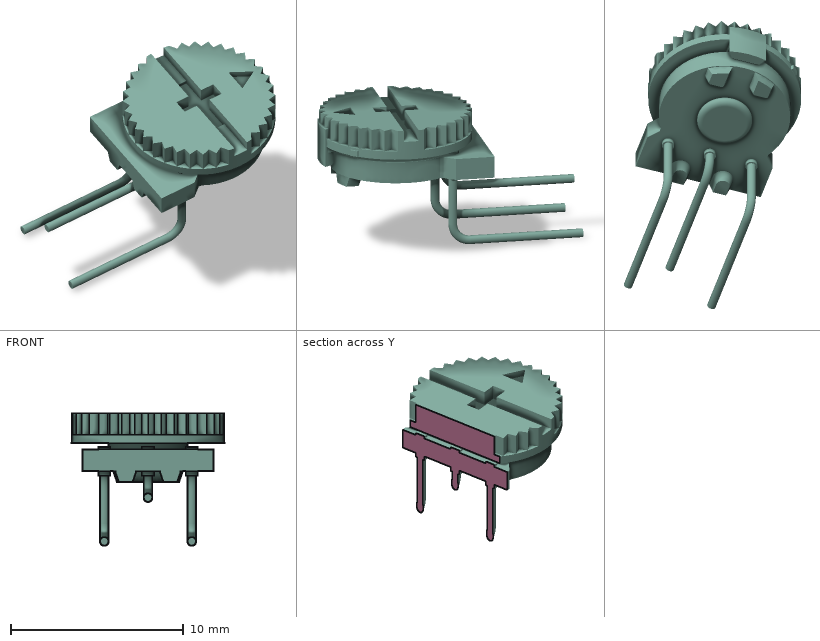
import cadquery as cq
import math


BASE_RADIUS = 3.81
BASE_FRONT_Y = -5.08
BASE_HEIGHT = 1.27
SHOULDER_Y = -2.80
WAIST_Y = -2.155
WAIST_TOP_Y = -1.965

FOOT_HEIGHT = 0.635
FOOT_TAPER = 19.0
FOOT_INNER_X = 0.68
FRONT_FOOT_OUTER_X = 1.91
FRONT_FOOT_ROUND_Y = -4.47
REAR_FOOT_OUTER_X = 2.02
REAR_FOOT_FRONT_Y = 2.32
REAR_FOOT_CORNER = 0.34
REAR_FOOT_RIM_RADIUS = 3.75
RIVET_RADIUS = 1.6

WHEEL_RADIUS = 4.445
WHEEL_BOTTOM = 1.63
WHEEL_TOP = 3.366
TOOTH_BOTTOM = 2.13
TOOTH_ROOT_RADIUS = 4.06
TOOTH_PITCH = 10.0
TEETH_PER_QUARTER = 8
NECK_RADIUS = 2.3
NECK_FLAT_Y = 1.89

SLOT_WIDTH = 0.88
SLOT_DEPTH = 0.66
CROSS_DEPTH = 0.88
CROSS_LENGTH_X = 4.04
CROSS_LENGTH_Y = 2.56
ARROW_BASE_Y = 2.53
ARROW_TIP_Y = 3.79
ARROW_HALF_WIDTH = 0.746
ARROW_DEPTH = 0.41

TAB_RADIUS = 4.54
TAB_INNER_Y = 3.84
TAB_OUTER_HALF_WIDTH = 1.11
TAB_INNER_HALF_WIDTH = 0.74
TAB_BOTTOM = 0.43
TAB_TOP = WHEEL_TOP - SLOT_DEPTH
TAB_CHAMFER = 0.12
WEB_HALF_WIDTH = 1.0
WEB_OUTER_Y = 4.24
WEB_INNER_TOP_Y = 3.40
WEB_INNER_BOTTOM_Y = 3.57
NUB_RADIUS = 4.575
NUB_WIDTH = 0.5
NUB_BOTTOM = 1.66
NUB_TOP = 2.0
NUB_ANGLE = 136.0

PIN_RADIUS = 0.254
PIN_PITCH = 2.54
PIN_Y = -2.86
PIN_END_Y = -10.56
PIN_BEND_RADIUS = 1.016
OUTER_PIN_Z = -4.08
MIDDLE_PIN_Z = OUTER_PIN_Z + PIN_PITCH
COLLAR_RADIUS = 0.35
COLLAR_BOTTOM = -0.27
COLLAR_TOP = 1.41

OVERCUT = 1.0


def polar(radius, degrees):
    angle = math.radians(degrees)
    return radius * math.cos(angle), radius * math.sin(angle)


def make_base():
    waist_x = math.sqrt(BASE_RADIUS**2 - WAIST_TOP_Y**2)
    return (
        cq.Workplane("XY")
        .moveTo(-waist_x, WAIST_TOP_Y)
        .threePointArc((0, BASE_RADIUS), (waist_x, WAIST_TOP_Y))
        .lineTo(waist_x, WAIST_Y)
        .lineTo(BASE_RADIUS, SHOULDER_Y)
        .lineTo(BASE_RADIUS, BASE_FRONT_Y)
        .lineTo(-BASE_RADIUS, BASE_FRONT_Y)
        .lineTo(-BASE_RADIUS, SHOULDER_Y)
        .lineTo(-waist_x, WAIST_Y)
        .close()
        .extrude(BASE_HEIGHT)
    )


def tapered_foot(outline):
    """Foot narrowing downward from the underside of the base."""
    return outline.extrude(FOOT_HEIGHT, taper=FOOT_TAPER).mirror("XY")


def make_front_foot():
    width = FRONT_FOOT_OUTER_X - FOOT_INNER_X
    center_x = (FRONT_FOOT_OUTER_X + FOOT_INNER_X) / 2
    straight = 2 * (FRONT_FOOT_ROUND_Y - BASE_FRONT_Y)
    outline = (
        cq.Workplane("XY")
        .center(center_x, BASE_FRONT_Y)
        .slot2D(straight + width, width, 90)
    )
    behind_front_face = cq.Workplane("XY").box(
        2 * BASE_RADIUS, -BASE_FRONT_Y, 2 * FOOT_HEIGHT
    ).translate((0, BASE_FRONT_Y / 2, 0))
    return tapered_foot(outline).intersect(behind_front_face)


def make_rear_foot():
    width = REAR_FOOT_OUTER_X - FOOT_INNER_X
    length = 2 * (REAR_FOOT_RIM_RADIUS - REAR_FOOT_FRONT_Y)
    outline = cq.Workplane("XY").placeSketch(
        cq.Sketch()
        .rect(width, length)
        .vertices()
        .fillet(REAR_FOOT_CORNER)
        .moved(cq.Location(cq.Vector(FOOT_INNER_X + width / 2, REAR_FOOT_FRONT_Y + length / 2, 0)))
    )
    rim = cq.Workplane("XY").circle(REAR_FOOT_RIM_RADIUS).extrude(-FOOT_HEIGHT)
    return tapered_foot(outline).intersect(rim)


def make_rivet():
    edge_radius = FOOT_HEIGHT / 2
    flat_radius = RIVET_RADIUS - edge_radius
    return (
        cq.Workplane("XZ")
        .lineTo(flat_radius, 0)
        .threePointArc((RIVET_RADIUS, -edge_radius), (flat_radius, -FOOT_HEIGHT))
        .lineTo(0, -FOOT_HEIGHT)
        .close()
        .revolve(360, (0, 0, 0), (0, 1, 0))
    )


def cut_teeth(blank):
    """V notches front and back leave teeth, with smooth rim at the two slot ends."""
    tip_x, tip_y = polar(WHEEL_RADIUS, TOOTH_PITCH / 2)
    mouth_x = WHEEL_RADIUS + OVERCUT
    mouth_y = tip_y * (mouth_x - TOOTH_ROOT_RADIUS) / (tip_x - TOOTH_ROOT_RADIUS)
    notch = (
        cq.Workplane("XY")
        .workplane(offset=TOOTH_BOTTOM)
        .polyline([(TOOTH_ROOT_RADIUS, 0), (mouth_x, mouth_y), (mouth_x, -mouth_y)])
        .close()
        .extrude(WHEEL_TOP - TOOTH_BOTTOM + OVERCUT)
    )
    for middle in (90, 270):
        for i in range(-TEETH_PER_QUARTER, TEETH_PER_QUARTER):
            angle = middle + (i + 0.5) * TOOTH_PITCH
            blank = blank.cut(notch.rotate((0, 0, 0), (0, 0, 1), angle))
    return blank


def make_neck():
    neck = cq.Workplane("XY").workplane(offset=BASE_HEIGHT).circle(NECK_RADIUS)
    neck = neck.extrude(WHEEL_BOTTOM - BASE_HEIGHT)
    flat_cut = (
        cq.Workplane("XY")
        .box(2 * NECK_RADIUS, NECK_RADIUS, WHEEL_TOP, centered=(True, False, False))
        .translate((0, NECK_FLAT_Y, 0))
    )
    return neck.cut(flat_cut)


def top_recess(outline, depth):
    return outline.extrude(depth + OVERCUT).translate((0, 0, WHEEL_TOP - depth))


def make_wheel():
    blank = (
        cq.Workplane("XY")
        .workplane(offset=WHEEL_BOTTOM)
        .circle(WHEEL_RADIUS)
        .extrude(WHEEL_TOP - WHEEL_BOTTOM)
    )
    slot = cq.Workplane("XY").rect(2 * (WHEEL_RADIUS + OVERCUT), SLOT_WIDTH)
    cross_x = cq.Workplane("XY").rect(CROSS_LENGTH_X, SLOT_WIDTH)
    cross_y = cq.Workplane("XY").rect(SLOT_WIDTH, CROSS_LENGTH_Y)
    arrow = cq.Workplane("XY").polyline(
        [
            (0, ARROW_TIP_Y),
            (-ARROW_HALF_WIDTH, ARROW_BASE_Y),
            (ARROW_HALF_WIDTH, ARROW_BASE_Y),
        ]
    ).close()
    recess = (
        top_recess(slot, SLOT_DEPTH)
        .union(top_recess(cross_x, CROSS_DEPTH))
        .union(top_recess(cross_y, CROSS_DEPTH))
    )
    return cut_teeth(blank).cut(recess).cut(top_recess(arrow, ARROW_DEPTH))


def make_stop_tab():
    outer_y = math.sqrt(TAB_RADIUS**2 - TAB_OUTER_HALF_WIDTH**2)
    tab = (
        cq.Workplane("XY")
        .workplane(offset=TAB_BOTTOM)
        .moveTo(-TAB_INNER_HALF_WIDTH, TAB_INNER_Y)
        .lineTo(-TAB_OUTER_HALF_WIDTH, outer_y)
        .threePointArc((0, TAB_RADIUS), (TAB_OUTER_HALF_WIDTH, outer_y))
        .lineTo(TAB_INNER_HALF_WIDTH, TAB_INNER_Y)
        .close()
        .extrude(TAB_TOP - TAB_BOTTOM)
        .faces("<Y")
        .edges("<Z")
        .chamfer(TAB_CHAMFER)
    )
    web = (
        cq.Workplane("YZ")
        .polyline(
            [
                (WEB_INNER_TOP_Y, WHEEL_BOTTOM),
                (WEB_OUTER_Y, WHEEL_BOTTOM),
                (WEB_OUTER_Y, BASE_HEIGHT),
                (WEB_INNER_BOTTOM_Y, BASE_HEIGHT),
            ]
        )
        .close()
        .extrude(WEB_HALF_WIDTH, both=True)
    )
    return tab.union(web)


def make_nub():
    root_radius = TOOTH_ROOT_RADIUS
    return (
        cq.Workplane("XY")
        .box(NUB_RADIUS - root_radius, NUB_WIDTH, NUB_TOP - NUB_BOTTOM, centered=(False, True, False))
        .translate((root_radius, 0, NUB_BOTTOM))
        .rotate((0, 0, 0), (0, 0, 1), NUB_ANGLE)
    )


def make_pin(x, tail_z):
    """Round wire dropping from the base, then bent toward -Y at height tail_z."""
    bend_y = PIN_Y - PIN_BEND_RADIUS
    bend_z = tail_z + PIN_BEND_RADIUS
    diagonal = PIN_BEND_RADIUS * math.sqrt(0.5)
    path = (
        cq.Workplane("YZ", origin=(x, 0, 0))
        .moveTo(PIN_Y, BASE_HEIGHT)
        .lineTo(PIN_Y, bend_z)
        .threePointArc((bend_y + diagonal, bend_z - diagonal), (bend_y, tail_z))
        .lineTo(PIN_END_Y, tail_z)
    )
    wire = cq.Workplane("XY", origin=(x, PIN_Y, BASE_HEIGHT)).circle(PIN_RADIUS).sweep(path)
    collar = (
        cq.Workplane("XY", origin=(x, PIN_Y, COLLAR_BOTTOM))
        .circle(COLLAR_RADIUS)
        .extrude(COLLAR_TOP - COLLAR_BOTTOM)
    )
    return collar.union(wire)


pieces = [make_rivet(), make_neck(), make_wheel(), make_stop_tab(), make_nub()]
for foot in (make_front_foot(), make_rear_foot()):
    pieces += [foot, foot.mirror("YZ")]
for pin_x, pin_z in ((-PIN_PITCH, OUTER_PIN_Z), (0, MIDDLE_PIN_Z), (PIN_PITCH, OUTER_PIN_Z)):
    pieces.append(make_pin(pin_x, pin_z))

result = make_base()
for piece in pieces:
    result = result.union(piece)